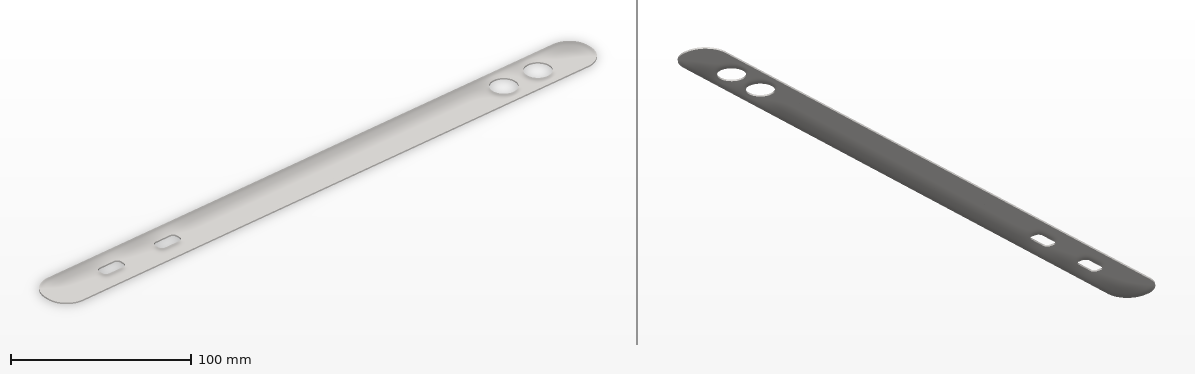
import cadquery as cq

length = 398.0
width = 30.0
thickness = 1.0
corner_radius = 14.0

hole_diameter = 16.5
hole_positions = (335.0, 360.0)

slot_length = 16.0
slot_width = 8.0
slot_corner_radius = 2.8
slot_positions = (47.8, 88.8)


def centres(distances):
    """Points on the centreline at the given distances from the -Y end."""
    return [(0, distance - length / 2) for distance in distances]


strip = (
    cq.Workplane("XY")
    .rect(width, length)
    .extrude(thickness)
    .edges("|Z")
    .fillet(corner_radius)
)

holes = (
    cq.Workplane("XY")
    .pushPoints(centres(hole_positions))
    .circle(hole_diameter / 2)
    .extrude(thickness)
)

slots = (
    cq.Workplane("XY")
    .pushPoints(centres(slot_positions))
    .rect(slot_width, slot_length)
    .extrude(thickness)
    .edges("|Z")
    .fillet(slot_corner_radius)
)

result = strip.cut(holes).cut(slots)